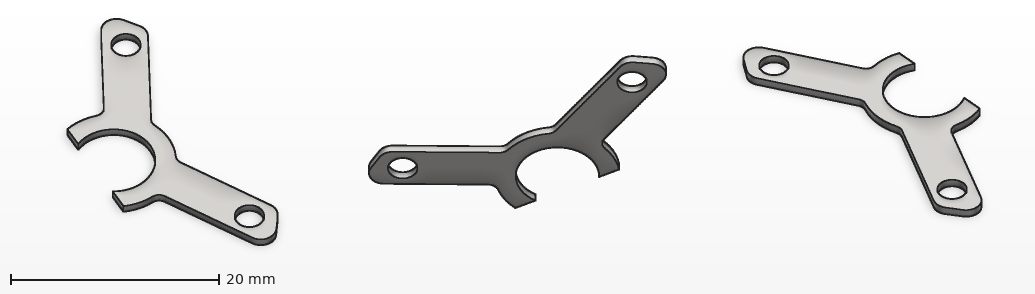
import cadquery as cq
import math

thickness = 0.84
ring_outer_radius = 6.0
ring_inner_radius = 4.0
ring_cut_y = -2.0

arm_width = 4.5
tip_radius = 1.5
root_radius = 1.0
root_lowest_y = 1.0
tip_slant_run = 0.8
hole_diameter = 2.83

left_arm_angle = 26.9
left_arm_offset = 1.5
left_arm_reach = 16.76
left_hole_center = (-12.54, 8.14)

right_arm_angle = 29.0
right_arm_offset = 0.98
right_arm_reach = 16.6
right_hole_center = (12.55, 8.02)


def make_arm(angle, offset, reach):
    """Straight arm towards +X with a slanted, rounded tip, tilted up by the angle."""
    top = offset + arm_width / 2
    bottom = offset - arm_width / 2
    upper_center = (reach - tip_slant_run, top - tip_radius)
    lower_center = (reach, bottom + tip_radius)

    normal_angle = math.atan2(tip_slant_run, arm_width - 2 * tip_radius)

    def on_corner(center, direction):
        return (
            center[0] + tip_radius * math.cos(direction),
            center[1] + tip_radius * math.sin(direction),
        )

    up = math.pi / 2
    down = -up
    profile = (
        cq.Workplane("XY")
        .moveTo(0, bottom)
        .lineTo(*on_corner(lower_center, down))
        .threePointArc(
            on_corner(lower_center, (down + normal_angle) / 2),
            on_corner(lower_center, normal_angle),
        )
        .lineTo(*on_corner(upper_center, normal_angle))
        .threePointArc(
            on_corner(upper_center, (normal_angle + up) / 2),
            on_corner(upper_center, up),
        )
        .lineTo(0, top)
        .close()
    )
    return profile.extrude(thickness).rotate((0, 0, 0), (0, 0, 1), angle)


def make_body():
    """Ring blank joined to both arms, with the four arm roots filleted."""
    blank = cq.Workplane("XY").circle(ring_outer_radius).extrude(thickness)
    left_arm = make_arm(left_arm_angle, left_arm_offset, left_arm_reach).mirror("YZ")
    right_arm = make_arm(right_arm_angle, right_arm_offset, right_arm_reach)
    body = blank.union(left_arm).union(right_arm)

    roots = cq.selectors.BoxSelector(
        (-ring_outer_radius, root_lowest_y, -thickness),
        (ring_outer_radius, ring_outer_radius, 2 * thickness),
    )
    return body.edges("|Z").edges(roots).fillet(root_radius)


def cut_ring(body):
    """Bore the ring and remove everything below the flat cut."""
    body = body.cut(cq.Workplane("XY").circle(ring_inner_radius).extrude(thickness))
    below_cut = (
        cq.Workplane("XY")
        .rect(2 * ring_outer_radius, 2 * ring_outer_radius)
        .extrude(thickness)
        .translate((0, ring_cut_y - ring_outer_radius, 0))
    )
    return body.cut(below_cut)


def cut_arm_holes(body):
    centers = [left_hole_center, right_hole_center]
    holes = cq.Workplane("XY").pushPoints(centers).circle(hole_diameter / 2).extrude(thickness)
    return body.cut(holes)


result = cut_arm_holes(cut_ring(make_body()))